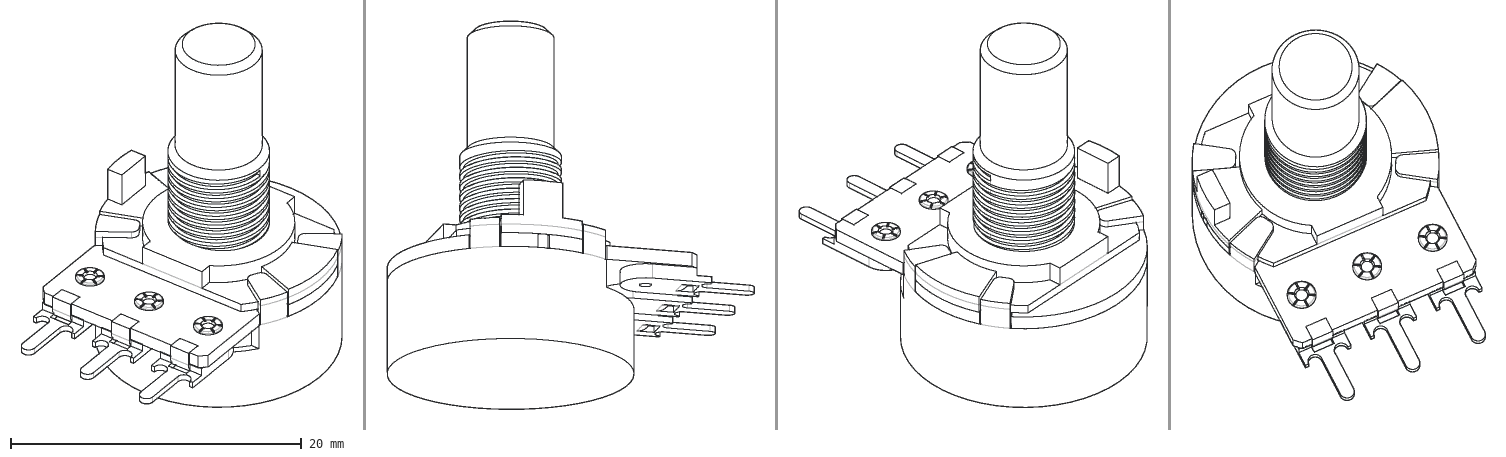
import cadquery as cq
import math


cup_radius = 17.0 / 2
cup_bore_radius = 16.0 / 2
cup_wall = cup_radius - cup_bore_radius
cup_height = 6.62
window_depth = 2.0
window_y = -4.92

board_thickness = 0.98
board_top = cup_height + board_thickness
plate_thickness = 0.62
plate_top = board_top + plate_thickness
arm_top = plate_top + 0.7
flange_top = plate_top + 1.4
locating_tab_top = flange_top + 1.8
overall_height = 24.6
overall_depth = 24.5

tab_centre_angle = 27.7
tab_half_angle = 7.0
pocket_half_angle = 7.6
tab_inner_radius = 5.5
tab_thickness = 0.5
tab_corner_radius = 0.5

board_half_width = 6.99
board_front_y = -11.51
board_corner = 0.5

plate_half_depth = 5.49
arm_half_angle = 20.0
flange_radius = 5.25
flange_block_width = 5.02
locating_tab_depth = 1.3
locating_tab_width = 2.8
peg_diameter = 0.8
peg_x = -(cup_radius - peg_diameter / 2)
thread_radius = 7.0 / 2
thread_depth = 0.25
bushing_length = 6.5

shaft_radius = 6.0 / 2
shaft_chamfer = 0.5

thread_turns = 8
bushing_chamfer = thread_radius - shaft_radius
thread_pitch = (bushing_length - bushing_chamfer) / thread_turns
groove_start = -0.45
groove_mouth = 0.47
groove_root = 0.27
groove_overrun = 0.12

terminal_count = 3
terminal_pitch = 5.0
rivet_y = -8.25
pad_radius = 1.75
pad_thickness = 1.0
strip_thickness = 0.45
pad_bottom = cup_height - pad_thickness
strip_top = pad_bottom + strip_thickness
pad_front_y = -11.45
ear_front_y = -12.5
pin_width = 1.0
pin_tip_y = cup_radius - overall_depth
scallop_radius = 0.5
hook_width = 1.53
hook_back_y = -10.5
hook_front_y = -11.6
slot_front_y = -11.85
hook_bend_radius = 0.98
rivet_hole_diameter = 0.8
rivet_tube_diameter = 1.0
crown_diameter = 2.0
crown_height = 0.2
crown_edge_radius = 0.1
crown_slit_width = 0.1
crown_slit_depth = 0.07
crown_slit_count = 6


def cylinder(radius, bottom, top, x=0.0, y=0.0):
    return cq.Workplane("XY", origin=(x, y, bottom)).circle(radius).extrude(top - bottom)


def block(x_min, x_max, y_min, y_max, bottom, top):
    size = (x_max - x_min, y_max - y_min, top - bottom)
    return cq.Workplane("XY", origin=(x_min, y_min, bottom)).box(*size, centered=False)


def ring_sector(inner_radius, outer_radius, half_angle, bottom, top):
    """Part of a ring, centred on the +X axis."""
    c = math.cos(math.radians(half_angle))
    s = math.sin(math.radians(half_angle))
    return (
        cq.Workplane("XY", origin=(0, 0, bottom))
        .moveTo(inner_radius * c, -inner_radius * s)
        .lineTo(outer_radius * c, -outer_radius * s)
        .threePointArc((outer_radius, 0), (outer_radius * c, outer_radius * s))
        .lineTo(inner_radius * c, inner_radius * s)
        .threePointArc((inner_radius, 0), (inner_radius * c, -inner_radius * s))
        .close()
        .extrude(top - bottom)
    )


def turned(body, angle):
    return body.rotate((0, 0, 0), (0, 0, 1), angle)


def at_tabs(body):
    """Copies of a body made on the +X axis, one at each of the four fold-over tabs."""
    angles = [side + sign * tab_centre_angle for side in (0, 180) for sign in (-1, 1)]
    return [turned(body, angle) for angle in angles]


def make_cup():
    cup = cylinder(cup_radius, 0, cup_height)
    cup = cup.cut(cylinder(cup_bore_radius, cup_wall, cup_height))
    cup = cup.cut(
        block(-cup_radius, cup_radius, -cup_radius, window_y, cup_height - window_depth, cup_height)
    )
    upright = ring_sector(cup_bore_radius, cup_radius, tab_half_angle, cup_height, plate_top)
    fold = ring_sector(
        tab_inner_radius, cup_radius, tab_half_angle, plate_top, plate_top + tab_thickness
    )
    fold = fold.edges("|Z").edges("<X").fillet(tab_corner_radius)
    for tab in at_tabs(upright.union(fold, clean=False)):
        cup = cup.union(tab, clean=False)
    return cup


def terminal_x_positions():
    middle = (terminal_count - 1) / 2
    return [(i - middle) * terminal_pitch for i in range(terminal_count)]


def make_board():
    board = cylinder(cup_radius, cup_height, board_top)
    terminal_end = block(
        -board_half_width, board_half_width, board_front_y, 0, cup_height, board_top
    )
    board = board.union(terminal_end.edges("|Z and <Y").chamfer(board_corner))
    pocket = ring_sector(
        cup_bore_radius, cup_radius + cup_wall, pocket_half_angle, cup_height, board_top
    )
    for tab_pocket in at_tabs(pocket):
        board = board.cut(tab_pocket)

    peg_radius = peg_diameter / 2
    board = board.cut(cylinder(peg_radius, cup_height, board_top, peg_x))
    board = board.cut(block(-cup_radius, peg_x, -peg_radius, peg_radius, cup_height, board_top))

    for x in terminal_x_positions():
        board = board.cut(cylinder(rivet_tube_diameter / 2, cup_height, board_top, x, rivet_y))
        board = board.cut(
            block(x - hook_width / 2, x + hook_width / 2, board_front_y, hook_back_y,
                  cup_height, board_top)
        )
    return board


def make_thread_groove():
    """Helical cutter with a trapezoid section, wound from the +X side."""
    root_radius = thread_radius - thread_depth
    outer_radius = thread_radius + groove_overrun
    flank_slope = (groove_mouth - groove_root) / 2 / thread_depth
    outer_half = groove_root / 2 + flank_slope * (outer_radius - root_radius)
    path = cq.Wire.makeHelix(
        thread_pitch, thread_turns * thread_pitch, root_radius, cq.Vector(0, 0, groove_start)
    )
    section = cq.Workplane("XZ").polyline([
        (root_radius, groove_start - groove_root / 2),
        (outer_radius, groove_start - outer_half),
        (outer_radius, groove_start + outer_half),
        (root_radius, groove_start + groove_root / 2),
    ]).close()
    return section.sweep(cq.Workplane(obj=path), isFrenet=True)


def make_threaded_neck():
    neck = cylinder(thread_radius, 0, bushing_length)
    neck = neck.faces(">Z").chamfer(bushing_chamfer)
    neck = neck.cut(make_thread_groove())
    return neck.translate((0, 0, flange_top))


def arms(bottom, top):
    arm = ring_sector(shaft_radius, cup_radius, arm_half_angle, bottom, top)
    return [turned(arm, side) for side in (0, 180)]


def make_bushing_plate():
    """Lower layer of the bushing, clamped between the board and the cup's tabs."""
    flats = block(
        -cup_radius, cup_radius, -plate_half_depth, plate_half_depth, board_top, plate_top
    )
    plate = cylinder(cup_bore_radius, board_top, plate_top).intersect(flats)
    for arm in arms(board_top, plate_top):
        plate = plate.union(arm)
    return plate.union(cylinder(peg_diameter / 2, cup_height, board_top, peg_x))


def make_bushing_flange():
    """Round flange with two square blocks, the raised arms and the locating tab."""
    flange = cylinder(flange_radius, plate_top, flange_top)
    flange = flange.union(
        block(-flange_block_width / 2, flange_block_width / 2, -plate_half_depth,
              plate_half_depth, plate_top, flange_top)
    )
    for arm in arms(plate_top, arm_top):
        flange = flange.union(arm)
    locating_tab = block(
        -cup_radius, -cup_radius + locating_tab_depth, -locating_tab_width / 2,
        locating_tab_width / 2, arm_top, locating_tab_top,
    )
    return flange.union(
        locating_tab.intersect(cylinder(cup_radius, arm_top, locating_tab_top))
    )


def make_bushing():
    bore = cylinder(shaft_radius, board_top, flange_top + bushing_length)
    upper = make_bushing_flange().union(make_threaded_neck()).cut(bore)
    return make_bushing_plate().cut(bore).union(upper, clean=False)


def make_shaft():
    shaft = cylinder(shaft_radius, board_top, overall_height)
    return shaft.faces(">Z").chamfer(shaft_chamfer)


def make_rivet():
    """Eyelet through the board with a slit crown pressed flat on its top face."""
    crown_top = board_top + crown_height
    crown = cylinder(crown_diameter / 2, board_top, crown_top)
    crown = crown.faces(">Z").edges().fillet(crown_edge_radius)
    slit = block(
        rivet_hole_diameter / 2, crown_diameter, -crown_slit_width / 2, crown_slit_width / 2,
        crown_top - crown_slit_depth, crown_top,
    )
    for i in range(crown_slit_count):
        crown = crown.cut(turned(slit, 90 + i * 360 / crown_slit_count))
    rivet = crown.union(cylinder(rivet_tube_diameter / 2, cup_height, board_top))
    mouth = (
        cq.Workplane("XY", origin=(0, 0, board_top))
        .circle(rivet_hole_diameter / 2)
        .workplane(offset=crown_height)
        .circle(rivet_tube_diameter / 2)
        .loft()
    )
    return rivet.cut(mouth).translate((0, rivet_y, 0))


def make_terminal():
    pad = cylinder(pad_radius, pad_bottom, cup_height, 0, rivet_y)
    pad = pad.union(block(-pad_radius, pad_radius, pad_front_y, rivet_y, pad_bottom, cup_height))

    strip = block(-pad_radius, pad_radius, ear_front_y, pad_front_y, pad_bottom, strip_top)
    scallop_x = pin_width / 2 + scallop_radius
    for x in (-scallop_x, scallop_x):
        strip = strip.cut(cylinder(scallop_radius, pad_bottom, strip_top, x, ear_front_y))
    pin_end_y = pin_tip_y + pin_width / 2
    pin = block(-pin_width / 2, pin_width / 2, pin_end_y, ear_front_y, pad_bottom, strip_top)
    pin = pin.union(cylinder(pin_width / 2, pad_bottom, strip_top, 0, pin_end_y))
    terminal = pad.union(strip).union(pin)

    terminal = terminal.cut(
        block(-hook_width / 2, hook_width / 2, slot_front_y, hook_front_y + hook_bend_radius,
              pad_bottom, cup_height)
    )
    hook = block(-hook_width / 2, hook_width / 2, hook_front_y, hook_back_y, pad_bottom, board_top)
    hook = hook.edges("<Y and <Z").fillet(hook_bend_radius)

    terminal = terminal.union(hook).union(make_rivet())
    return terminal.cut(
        cylinder(rivet_hole_diameter / 2, pad_bottom, board_top + crown_height, 0, rivet_y)
    )


cup = make_cup()
board = make_board()
bushing = make_bushing()
shaft = make_shaft()
terminals = [make_terminal().translate((x, 0, 0)) for x in terminal_x_positions()]

bodies = [cup, board, bushing, shaft, *terminals]
result = cq.Compound.makeCompound([body.solids().val() for body in bodies])